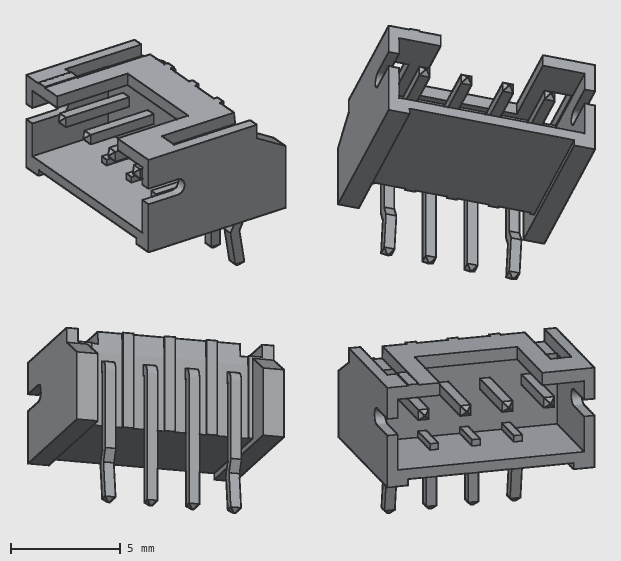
import cadquery as cq


pin_count = 4
pitch = 2.0
pin_size = 0.5
pin_axis_z = 3.1
pin_front_y = 0.5
pin_tail_z = -3.4
pin_rear_y = 6.5
bend_radius = 0.55
tip_length = 0.2
tip_flat = 0.1
kink_start_z = -0.9
kink_peak_z = -1.5
kink_offset = 0.3
tail_end_offset = 0.03

width = 9.9
height = 4.8
body_depth = 6.0
side_wall = 0.5
roof_thickness = 0.6
floor_top_z = 0.8
foot_height = 0.3
foot_width = 1.0
cavity_depth = 4.2

rear_inset = 0.1
rear_draft = 0.1
rear_draft_height = 1.0
rear_recess_width = 7.5
rear_rib_width = 0.5

wing_depth = 7.6
wing_shoulder_z = 3.2
wing_slope_top_z = 4.1

roof_opening_width = 4.9
roof_opening_depth = 3.9
roof_slot_width = 1.0
roof_slot_x = 3.9
roof_slot_front_y = 1.8
strip_width = 0.5
strip_height = 0.05

latch_slot_bottom_z = 2.5
latch_slot_height = 0.8
latch_slot_depth = 2.0

key_width = 0.4
key_height = 0.3
key_front_y = 2.3

half_width = width / 2
ceiling_z = height - roof_thickness
key_top_z = floor_top_z + key_height
wing_inner_x = half_width - foot_width
pin_positions = [(i - (pin_count - 1) / 2) * pitch for i in range(pin_count)]
gap_positions = [x + pitch / 2 for x in pin_positions[:-1]]


def block(x_range, y_range, z_range):
    """Box between the given limits along each axis."""
    size = [high - low for low, high in (x_range, y_range, z_range)]
    corner = (x_range[0], y_range[0], z_range[0])
    return cq.Workplane("XY").box(*size, centered=False).translate(corner)


def centred_block(x, x_size, y_range, z_range):
    """Box centred on x with the given limits along Y and Z."""
    return block((x - x_size / 2, x + x_size / 2), y_range, z_range)


def side_profile(points, x_start, x_size):
    """Closed (Y, Z) outline extruded along +X from x_start."""
    return cq.Workplane("YZ", origin=(x_start, 0, 0)).polyline(points).close().extrude(x_size)


def make_body():
    """Outer housing block with its two rear wings."""
    body = centred_block(0, width, (0, body_depth), (0, height))
    wing_outline = [
        (body_depth, 0),
        (wing_depth, 0),
        (wing_depth, wing_shoulder_z),
        (body_depth, wing_slope_top_z),
    ]
    for x_start in (-half_width, wing_inner_x):
        body = body.union(side_profile(wing_outline, x_start, foot_width))
    return body


def make_rear_recess():
    """Drafted relief of the rear wall, leaving a rib in each gap between pins."""
    recess_y = body_depth - rear_inset
    outline = [
        (body_depth, 0),
        (recess_y, 0),
        (recess_y, height - rear_draft_height),
        (recess_y - rear_draft, height),
        (body_depth, height),
    ]
    recess = side_profile(outline, -rear_recess_width / 2, rear_recess_width)
    for x in gap_positions:
        recess = recess.cut(centred_block(x, rear_rib_width, (0, body_depth), (0, height)))
    return recess


def make_latch_slot():
    """Round-ended slot through both side walls, open at the mating face."""
    radius = latch_slot_height / 2
    centre_y = latch_slot_depth - radius
    top_z = latch_slot_bottom_z + latch_slot_height
    return (
        cq.Workplane("YZ", origin=(-half_width, 0, 0))
        .moveTo(0, latch_slot_bottom_z)
        .lineTo(centre_y, latch_slot_bottom_z)
        .threePointArc((latch_slot_depth, latch_slot_bottom_z + radius), (centre_y, top_z))
        .lineTo(0, top_z)
        .close()
        .extrude(width)
    )


def make_housing():
    """Housing with its cavity, openings, keys and index strip."""
    housing = make_body().cut(make_rear_recess())
    housing = housing.cut(centred_block(0, 2 * wing_inner_x, (0, wing_depth), (0, foot_height)))
    housing = housing.cut(
        centred_block(0, width - 2 * side_wall, (0, cavity_depth), (floor_top_z, ceiling_z))
    )
    housing = housing.cut(make_latch_slot())

    roof = (ceiling_z, height)
    housing = housing.cut(centred_block(0, roof_opening_width, (0, roof_opening_depth), roof))
    for x in (-roof_slot_x, roof_slot_x):
        housing = housing.cut(centred_block(x, roof_slot_width, (roof_slot_front_y, body_depth), roof))

    for x in gap_positions:
        key = centred_block(x, key_width, (key_front_y, cavity_depth), (floor_top_z, key_top_z))
        housing = housing.union(key)

    strip = block(
        (-wing_inner_x, -wing_inner_x + strip_width),
        (0, roof_slot_front_y),
        (ceiling_z, height + strip_height),
    )
    return housing.union(strip)


def make_tip(origin, normal):
    """Tapered pin end growing from a full section at origin along normal."""
    plane = cq.Plane(origin=origin, xDir=(1, 0, 0), normal=normal)
    return (
        cq.Workplane(plane)
        .rect(pin_size, pin_size)
        .workplane(offset=tip_length)
        .rect(tip_flat, tip_flat)
        .loft(ruled=True)
    )


def rounded_bend(bar, x, y, z, radius):
    """Fillet the bend edge that runs along X through the given point."""
    nearest_edge = cq.selectors.NearestToPointSelector((x, y, z))
    return bar.edges(nearest_edge).fillet(radius)


def make_pin(x, kinked):
    """Right-angle pin: contact along Y, rounded bend, then the tail down."""
    x_start = x - pin_size / 2
    top_z = pin_axis_z + pin_size / 2
    bottom_z = pin_axis_z - pin_size / 2
    inner_y = pin_rear_y - pin_size
    contact_y = pin_front_y + tip_length
    tail_z = pin_tail_z + tip_length

    contact = block((x_start, x_start + pin_size), (contact_y, pin_rear_y), (bottom_z, top_z))

    path = [(0, top_z), (0, tail_z)]
    if kinked:
        path = [(0, top_z), (0, kink_start_z), (kink_offset, kink_peak_z), (tail_end_offset, tail_z)]
    front_edge = [(inner_y - shift, z) for shift, z in path]
    rear_edge = [(y + pin_size, z) for y, z in reversed(front_edge)]
    tail = side_profile(front_edge + rear_edge, x_start, pin_size)

    bar = contact.union(tail)
    bar = rounded_bend(bar, x, pin_rear_y, top_z, bend_radius)
    bar = rounded_bend(bar, x, inner_y, bottom_z, bend_radius - pin_size)

    tail_axis_y = front_edge[-1][0] + pin_size / 2
    contact_tip = make_tip((x, contact_y, pin_axis_z), (0, -1, 0))
    tail_tip = make_tip((x, tail_axis_y, tail_z), (0, 0, -1))
    return bar.union(contact_tip).union(tail_tip)


result = make_housing()
for index, pin_x in enumerate(pin_positions):
    is_end_pin = index in (0, pin_count - 1)
    result = result.union(make_pin(pin_x, is_end_pin))